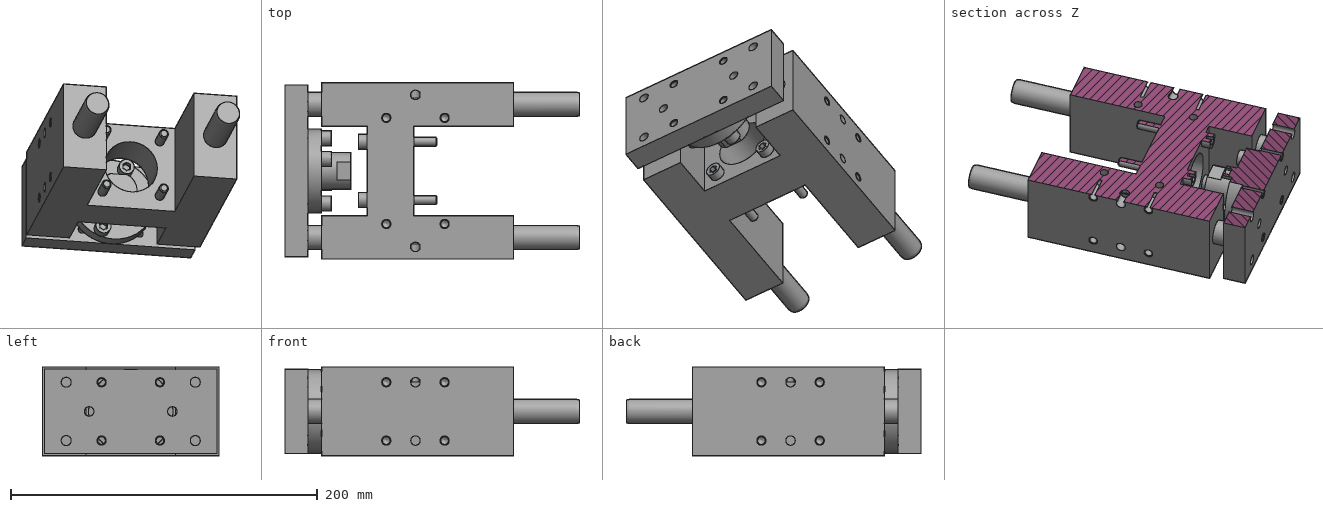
import cadquery as cq
import math


housing_width = 115.0
housing_height = 58.0
housing_length = 125.0
housing_front = 24.0
leg_width = 28.5
web_offset = 29.5
web_thickness = 30.5
web_front = housing_front + web_offset
web_back = web_front + web_thickness
leg_gap = housing_width - 2 * leg_width
half_width = housing_width / 2
half_height = housing_height / 2
web_bore_diameter = 35.0

total_length = 192
plate_thickness = 15.0
plate_width = 112.1
plate_height = 55.1
rod_diameter = 16.0
rod_offset = 43.4
rod_chamfer_length = 2.0
rod_chamfer_depth = 0.5
flange_diameter = 55.0
flange_end = 23.8
hub_diameter = 24.0
hub_end = 43.0
flat_start = 33.8
across_flats = 21.0

head_diameter = 10.0
shank_diameter = 6.0
socket_across_flats = 5.0
socket_depth = 3.8
shank_chamfer = 0.8
hole_pitch = 38.0
half_pitch = hole_pitch / 2
web_head_height = 5.8
web_shank_end = 99.0
flange_head_height = 6.5
flange_screw_count = 4
flange_screw_radius = 22.7
flange_screw_angle = 70

thread_diameter = 6.0
thread_core = 5.0
thread_depth = 15.0
drill_point_angle = 118
dowel_diameter = 6.1
dowel_depth = 10.0
hole_middle = 85.0
top_dowel_offset = 49.5
top_thread_offset = 34.5
plate_dowel_offset = 27.0
clearance_diameter = 6.5
clearance_offset = 42.0

SIDES = (-1, 1)
CORNERS = [(y_side, z_side) for y_side in SIDES for z_side in SIDES]


def rod_along_x(diameter, x_start, x_end, y=0, z=0):
    """Plain cylinder parallel to X."""
    plane = cq.Plane((x_start, y, z), xDir=(0, 1, 0), normal=(1, 0, 0))
    return cq.Workplane(plane).circle(diameter / 2).extrude(x_end - x_start)


def box_between(x_start, x_end, width, height):
    """Box centred on Y = 0 and Z = 0."""
    return cq.Workplane("XY").box(x_end - x_start, width, height).translate(((x_start + x_end) / 2, 0, 0))


def dowel_hole(position, direction):
    """Flat-bottomed blind hole, drilled along the direction."""
    start = cq.Vector(*position)
    return cq.Solid.makeCylinder(dowel_diameter / 2, dowel_depth, start, cq.Vector(*direction))


def threaded_hole(position, direction):
    """Blind core hole with a drill point and a short countersunk mouth."""
    start = cq.Vector(*position)
    axis = cq.Vector(*direction)
    core_radius = thread_core / 2
    mouth_radius = thread_diameter / 2
    mouth_depth = mouth_radius - core_radius
    point_depth = core_radius / math.tan(math.radians(drill_point_angle / 2))
    core = cq.Solid.makeCylinder(core_radius, thread_depth, start, axis)
    mouth = cq.Solid.makeCone(mouth_radius, core_radius, mouth_depth, start, axis)
    point = cq.Solid.makeCone(core_radius, 0, point_depth, start + axis * thread_depth, axis)
    return cq.Workplane(core).union(cq.Workplane(mouth)).union(cq.Workplane(point))


def screw_head(seat_x, height, y, z):
    """Socket head with its seat at seat_x, on the +X or -X side according to the sign of height."""
    outward = math.copysign(1, height)
    head = rod_along_x(head_diameter, seat_x, seat_x + height, y, z)
    hexagon_diameter = socket_across_flats / math.cos(math.pi / 6)
    mouth = cq.Plane((seat_x + height, y, z), xDir=(0, 0, 1), normal=(outward, 0, 0))
    socket = cq.Workplane(mouth).polygon(6, hexagon_diameter).extrude(-socket_depth)
    return head.cut(socket)


def housing_block():
    """H-shaped block with the central web bore and the two guide bores."""
    housing_back = housing_front + housing_length
    block = box_between(housing_front, housing_back, housing_width, housing_height)
    block = block.cut(box_between(housing_front, web_front, leg_gap, housing_height))
    block = block.cut(box_between(web_back, housing_back, leg_gap, housing_height))
    block = block.cut(rod_along_x(web_bore_diameter, web_front, web_back))
    for side in SIDES:
        block = block.cut(rod_along_x(rod_diameter, housing_front, housing_back, side * rod_offset))
    return block


def drill_top(block):
    """Dowel and threaded holes in the top face."""
    down = (0, 0, -1)
    for side in SIDES:
        block = block.cut(cq.Workplane(dowel_hole((hole_middle, side * top_dowel_offset, half_height), down)))
        for step in SIDES:
            x = hole_middle + step * half_pitch
            block = block.cut(threaded_hole((x, side * top_thread_offset, half_height), down))
    return block


def drill_sides(block):
    """Two rows of threaded, dowel and threaded holes in each outer side face."""
    for y_side, z_side in CORNERS:
        inward = (0, -y_side, 0)
        y = y_side * half_width
        z = z_side * half_pitch
        block = block.cut(cq.Workplane(dowel_hole((hole_middle, y, z), inward)))
        for step in SIDES:
            block = block.cut(threaded_hole((hole_middle + step * half_pitch, y, z), inward))
    return block


def add_web_screws(block):
    """Socket head screws through the web, with their shanks standing out behind it."""
    for y_side, z_side in CORNERS:
        y = y_side * half_pitch
        z = z_side * half_pitch
        shank = rod_along_x(shank_diameter, web_back, web_shank_end, y, z)
        shank = shank.faces(">X").chamfer(shank_chamfer)
        block = block.union(shank).union(screw_head(web_front, -web_head_height, y, z))
    return block


housing = add_web_screws(drill_sides(drill_top(housing_block())))


def plate():
    """Front plate with its through holes."""
    body = box_between(0, plate_thickness, plate_width, plate_height)
    mouth_depth = (thread_diameter - thread_core) / 2
    for y_side, z_side in CORNERS:
        z = z_side * half_pitch
        y = y_side * half_pitch
        mouth = cq.Solid.makeCone(
            thread_diameter / 2, thread_core / 2, mouth_depth, cq.Vector(0, y, z), cq.Vector(1, 0, 0))
        body = body.cut(rod_along_x(clearance_diameter, 0, plate_thickness, y_side * clearance_offset, z))
        body = body.cut(rod_along_x(thread_core, 0, plate_thickness, y, z))
        body = body.cut(cq.Workplane(mouth))
    for side in SIDES:
        body = body.cut(rod_along_x(dowel_diameter, 0, plate_thickness, side * plate_dowel_offset))
    return body


def guide_rod(side):
    """Guide rod from the plate through the housing, with a slim chamfer at its free end."""
    rod = rod_along_x(rod_diameter, plate_thickness, total_length, side * rod_offset)
    return rod.faces(">X").edges().chamfer(rod_chamfer_length, rod_chamfer_depth)


def coupling():
    """Round flange with four screw heads and a hub that has two wrench flats."""
    body = rod_along_x(flange_diameter, plate_thickness, flange_end)
    for index in range(flange_screw_count):
        angle = math.radians(flange_screw_angle + 360 * index / flange_screw_count)
        y = flange_screw_radius * math.cos(angle)
        z = flange_screw_radius * math.sin(angle)
        body = body.union(screw_head(flange_end, flange_head_height, y, z))
    hub = rod_along_x(hub_diameter, flange_end, hub_end)
    flat_zone = box_between(flat_start, hub_end, hub_diameter, hub_diameter)
    flat_zone = flat_zone.cut(box_between(flat_start, hub_end, hub_diameter, across_flats))
    return body.union(hub.cut(flat_zone))


carriage = plate().union(coupling())
for rod_side in SIDES:
    carriage = carriage.union(guide_rod(rod_side))

result = cq.Compound.makeCompound([housing.solids().val(), carriage.solids().val()])